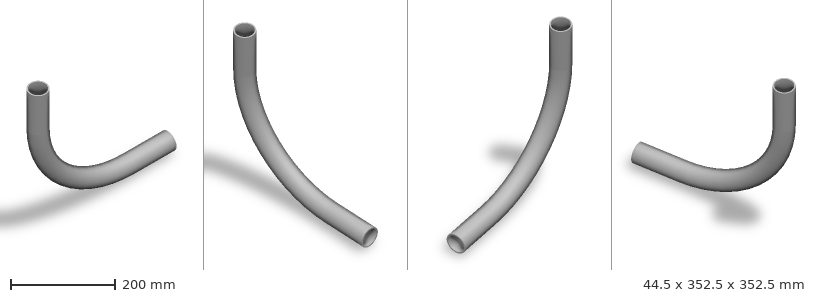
import cadquery as cq

overall_size = 352.5
outer_diameter = 44.5
inner_diameter = 38.5
straight_length = 101.0

leg_reach = overall_size - outer_diameter / 2
bend_radius = leg_reach - straight_length


def straight_leg(plane):
    """Straight tube starting at the plane origin and running along its normal."""
    return (
        cq.Workplane(plane)
        .circle(outer_diameter / 2)
        .circle(inner_diameter / 2)
        .extrude(straight_length)
    )


def quarter_bend():
    """Tube turned 90 degrees, from the top of the bend to the horizontal leg."""
    return (
        cq.Workplane("XY", origin=(0, 0, bend_radius))
        .circle(outer_diameter / 2)
        .circle(inner_diameter / 2)
        .revolve(90, (0, bend_radius, 0), (1, bend_radius, 0))
    )


vertical_leg = straight_leg(cq.Plane(origin=(0, 0, bend_radius), normal=(0, 0, 1)))
horizontal_leg = straight_leg(
    cq.Plane(origin=(0, bend_radius, 0), xDir=(1, 0, 0), normal=(0, 1, 0))
)

result = quarter_bend().union(vertical_leg).union(horizontal_leg)